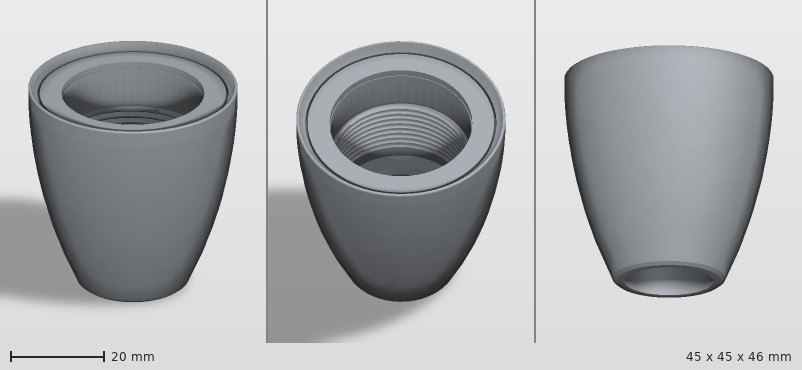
import cadquery as cq
import math

height = 46.05
outer_radius = 45.0 / 2
band_height = 3.4
belly_radius = 17.85
belly_z = 15.43
foot_radius = 12.1
foot_z = 0.65
base_radius = 11.3

rim_round = 0.35
rim_radius = 21.9
cove_bulge = 0.2
recess_radius = 20.55
ring_top_z = 44.45
ring_thickness = 1.65
recess_floor_z = ring_top_z - ring_thickness

bore_radius = 15.2
thread_top_z = 33.95
thread_crest_radius = 14.25
floor_z = 18.4
countersink_radius = 10.78
countersink_depth = 0.87
hole_radius = 9.55

pitch = 1.5
groove_width = 0.9 * pitch
groove_overlap = 0.15
groove_root_radius = bore_radius - 0.05
groove_turns = 9
thread_end_z = 34.1
thread_end_angle = 90

ring_clearance = 0.5
ring_radius = recess_radius - ring_clearance
ring_bore_radius = 15.35


def make_housing_blank():
    """Revolve the wall section, with a plain bore at the thread crest radius."""
    band_z = height - band_height
    round_middle = rim_round * (1 - math.sqrt(0.5))
    round_inner_radius = outer_radius - rim_round
    section = (
        cq.Workplane("XZ")
        .moveTo(hole_radius, 0)
        .lineTo(base_radius, 0)
        .lineTo(foot_radius, foot_z)
        .threePointArc((belly_radius, belly_z), (outer_radius, band_z))
        .lineTo(outer_radius, height - rim_round)
        .threePointArc(
            (outer_radius - round_middle, height - round_middle),
            (round_inner_radius, height),
        )
        .lineTo(rim_radius, height)
        .sagittaArc((recess_radius, ring_top_z), cove_bulge)
        .lineTo(recess_radius, recess_floor_z)
        .lineTo(bore_radius, recess_floor_z)
        .lineTo(bore_radius, thread_top_z)
        .lineTo(thread_crest_radius, thread_top_z)
        .lineTo(thread_crest_radius, floor_z)
        .lineTo(countersink_radius, floor_z)
        .lineTo(hole_radius, floor_z - countersink_depth)
        .close()
    )
    return section.revolve(360, (0, 0, 0), (0, 1, 0))


def make_thread_groove():
    """Sweep the V section up a helix; it ends at the top of the thread on the +Y side."""
    helix_height = groove_turns * pitch
    start_z = thread_end_z - helix_height
    inner_radius = thread_crest_radius - groove_overlap
    path = cq.Wire.makeHelix(pitch, helix_height, thread_crest_radius, center=cq.Vector(0, 0, start_z))
    section = cq.Workplane("XZ").polyline([
        (inner_radius, start_z - groove_width / 2),
        (groove_root_radius, start_z),
        (inner_radius, start_z + groove_width / 2),
    ]).close()
    groove = section.sweep(cq.Workplane(obj=path), isFrenet=True)
    return groove.rotate((0, 0, 0), (0, 0, 1), thread_end_angle)


def make_ring():
    """Flat ring resting on the recess floor."""
    return (
        cq.Workplane("XY", origin=(0, 0, recess_floor_z))
        .circle(ring_radius)
        .circle(ring_bore_radius)
        .extrude(ring_thickness)
    )


housing = make_housing_blank().cut(make_thread_groove())
ring = make_ring()

result = cq.Compound.makeCompound([housing.val(), ring.val()])